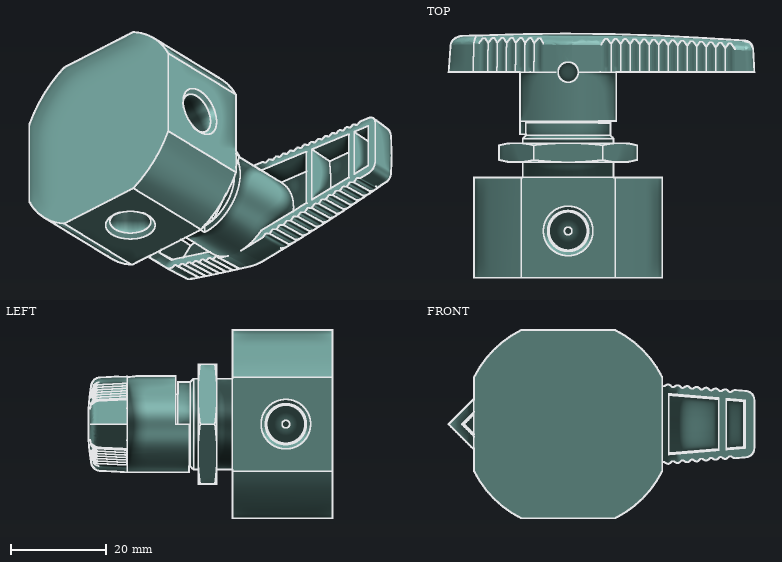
import cadquery as cq
import math


block_width = 39.4
block_height = 21.0
block_diameter = 44.0

port_height = 9.8
port_mouth_diameter = 10.4
port_thread_diameter = 8.6
port_floor_diameter = 8.0
port_chamfer_depth = 0.9
port_depth = 10.25
orifice_diameter = 1.6
orifice_depth = 3.2

neck_diameter = 19.1
neck_top = 29.75
shoulder_diameter = 17.7
neck_chamfer = (neck_diameter - shoulder_diameter) / 2
shoulder_top = 32.4
stem_diameter = 12.6

nut_across_flats = 25.1
nut_bottom = 24.2
nut_thickness = 4.0
nut_bevel = 0.45

hub_diameter = 20.2
hub_radius = hub_diameter / 2
hub_bottom = 32.8
stop_lip_bottom = 30.0
set_screw_diameter = 4.2
set_screw_depth = 3.7

lever_base = 43.0
lever_top = 51.2
lever_height = lever_top - lever_base
lever_tip_x = -25.0
lever_end_x = 39.0
lever_corner_radius = 2.0
lever_top_fillet = 2.0
lever_draft = 3.0
tip_half_angle = 45.0
pointer_side_angle = 15.0
grip_side_angle = 4.9

crown_length_radius = 441.6
crown_width_radius = 50.0
crown_trim = 0.65

wall = 2.0
roof = 1.8
rib_thickness = 1.55
rib_positions = (20.3, 32.25)

groove_depth = 0.5
groove_half_width = 1.2
groove_trough_radius = 0.5
groove_overlap = 0.01
first_grip_groove_x = 8.0
grip_groove_count = 14
grip_row_length = 26.0
groove_pitch = grip_row_length / (grip_groove_count - 1)
first_pointer_groove_x = -6.2
pointer_groove_count = 7


def turned(profile):
    """Solid of revolution about the valve axis from (radius, height) points."""
    return cq.Workplane("XY").polyline(profile).close().revolve(360, (0, 0, 0), (0, 1, 0))


def cylinder_along_y(diameter, bottom, top):
    radius = diameter / 2
    return turned([(0, bottom), (radius, bottom), (radius, top), (0, top)])



def make_port():
    """Tapered, chamfered port opening upwards at the top flat, with its orifice."""
    mouth_z = block_width / 2
    taper_z = mouth_z - port_chamfer_depth
    floor_z = mouth_z - port_depth
    orifice_z = floor_z - orifice_depth
    return (
        cq.Workplane("XZ")
        .moveTo(0, mouth_z)
        .lineTo(port_mouth_diameter / 2, mouth_z)
        .lineTo(port_thread_diameter / 2, taper_z)
        .lineTo(port_floor_diameter / 2, floor_z)
        .lineTo(orifice_diameter / 2, floor_z)
        .lineTo(orifice_diameter / 2, orifice_z)
        .lineTo(0, orifice_z)
        .close()
        .revolve(360, (0, 0, 0), (0, 1, 0))
        .translate((0, port_height, 0))
    )


def make_block():
    square = cq.Workplane("XY").box(block_width, block_height, block_width)
    square = square.translate((0, block_height / 2, 0))
    block = square.intersect(cylinder_along_y(block_diameter, 0, block_height))
    port = make_port()
    for quarter in range(4):
        block = block.cut(port.rotate((0, 0, 0), (0, 1, 0), 90 * quarter))
    return block


def make_neck():
    neck_radius = neck_diameter / 2
    return turned([
        (0, block_height),
        (neck_radius, block_height),
        (neck_radius, neck_top - neck_chamfer),
        (shoulder_diameter / 2, neck_top),
        (shoulder_diameter / 2, shoulder_top),
        (stem_diameter / 2, shoulder_top),
        (stem_diameter / 2, hub_bottom),
        (0, hub_bottom),
    ])


def make_nut():
    """Hexagon with corners on the X axis, bevelled at both faces."""
    across_corners = nut_across_flats / math.cos(math.radians(30))
    nut_top = nut_bottom + nut_thickness
    face_radius = nut_across_flats / 2
    corner_radius = across_corners / 2
    hexagon = (
        cq.Workplane("XZ", origin=(0, nut_bottom, 0))
        .polygon(6, across_corners)
        .extrude(-nut_thickness)
    )
    bevelled_blank = turned([
        (0, nut_bottom),
        (face_radius, nut_bottom),
        (corner_radius, nut_bottom + nut_bevel),
        (corner_radius, nut_top - nut_bevel),
        (face_radius, nut_top),
        (0, nut_top),
    ])
    return hexagon.intersect(bevelled_blank)


def make_valve_body():
    return make_block().union(make_neck()).union(make_nut())



def lever_side_z(x, side_angle, inset):
    """Half width at x of a straight side that is tangent to the hub circle."""
    slope = math.tan(math.radians(side_angle))
    return (hub_radius - inset) / math.cos(math.radians(side_angle)) - slope * abs(x)


def lever_blank(inset, corner_radius, height):
    """Drafted lever outline: pointed tip, hub tangents and a rounded end, moved inwards by inset."""
    tip_x = lever_tip_x + inset / math.sin(math.radians(tip_half_angle))
    end_x = lever_end_x - inset
    tip_slope = math.tan(math.radians(tip_half_angle))
    pointer_slope = math.tan(math.radians(pointer_side_angle))
    side_z_at_axis = lever_side_z(0, pointer_side_angle, inset)
    shoulder_x = (side_z_at_axis + tip_slope * tip_x) / (tip_slope - pointer_slope)
    shoulder_z = tip_slope * (shoulder_x - tip_x)
    end_z = lever_side_z(end_x, grip_side_angle, inset)

    arc_radius = hub_radius - inset
    pointer_tangent = math.radians(90 + pointer_side_angle)
    grip_tangent = math.radians(90 - grip_side_angle)
    middle = (pointer_tangent + grip_tangent) / 2

    def on_hub(angle, side):
        return (arc_radius * math.cos(angle), side * arc_radius * math.sin(angle))

    blank = (
        cq.Workplane(cq.Plane((0, lever_base, 0), (1, 0, 0), (0, 1, 0)))
        .moveTo(tip_x, 0)
        .lineTo(shoulder_x, shoulder_z)
        .lineTo(*on_hub(pointer_tangent, 1))
        .threePointArc(on_hub(middle, 1), on_hub(grip_tangent, 1))
        .lineTo(end_x, end_z)
        .lineTo(end_x, -end_z)
        .lineTo(*on_hub(grip_tangent, -1))
        .threePointArc(on_hub(middle, -1), on_hub(pointer_tangent, -1))
        .lineTo(shoulder_x, -shoulder_z)
        .close()
        .extrude(height, taper=lever_draft)
    )
    if corner_radius > 0:
        blank = blank.faces(">X").edges("not #Y").edges("not |Z").fillet(corner_radius)
    return blank


def crown_solid(drop):
    """Everything under the crowned top lowered by drop, large enough to trim the whole lever."""
    half_length = lever_end_x + wall
    top = lever_top - drop
    axis_y = lever_top - crown_width_radius
    end_sag = crown_length_radius - math.sqrt(crown_length_radius**2 - half_length**2)
    return (
        cq.Workplane("XY")
        .moveTo(-half_length, axis_y)
        .lineTo(-half_length, top - end_sag)
        .threePointArc((0, top), (half_length, top - end_sag))
        .lineTo(half_length, axis_y)
        .close()
        .revolve(360, (-half_length, axis_y, 0), (half_length, axis_y, 0))
    )


def groove_cutter(x, side_angle, side):
    """Cutter lying in the drafted lever side at x: a round trough with rounded lips."""
    lean = math.radians(side_angle) * (1 if x > 0 else -1)
    draft = math.radians(lever_draft)
    outward = cq.Vector(math.sin(lean), 0, side * math.cos(lean))
    along = cq.Vector(math.cos(lean), 0, -side * math.sin(lean))
    upward = cq.Vector(0, math.cos(draft), 0) - outward * math.sin(draft)
    face_normal = outward * math.cos(draft) + cq.Vector(0, math.sin(draft), 0)
    origin = cq.Vector(x, lever_base, side * lever_side_z(x, side_angle, 0))
    plane = cq.Plane(origin + face_normal * groove_overlap, along, upward)
    out = 1 if plane.yDir.dot(face_normal) > 0 else -1

    turn = 2 * math.atan(groove_depth / groove_half_width)
    lip_radius = groove_half_width / math.sin(turn) - groove_trough_radius
    joint = groove_trough_radius * math.sin(turn)
    joint_depth = groove_depth - groove_trough_radius * (1 - math.cos(turn))
    lip_middle = groove_half_width - lip_radius * math.sin(turn / 2)
    lip_middle_depth = lip_radius * (1 - math.cos(turn / 2))
    return (
        cq.Workplane(plane)
        .moveTo(-groove_half_width, 0)
        .threePointArc((-lip_middle, -out * lip_middle_depth), (-joint, -out * joint_depth))
        .threePointArc((0, -out * groove_depth), (joint, -out * joint_depth))
        .threePointArc((lip_middle, -out * lip_middle_depth), (groove_half_width, 0))
        .lineTo(groove_half_width, out * groove_depth)
        .lineTo(-groove_half_width, out * groove_depth)
        .close()
        .extrude(lever_height)
    )


def cut_grooves(lever):
    grip_step = groove_pitch * math.cos(math.radians(grip_side_angle))
    pointer_step = groove_pitch * math.cos(math.radians(pointer_side_angle))
    cutters = []
    for side in (1, -1):
        for index in range(grip_groove_count):
            x = first_grip_groove_x + index * grip_step
            cutters.append(groove_cutter(x, grip_side_angle, side).val())
        for index in range(pointer_groove_count):
            x = first_pointer_groove_x - index * pointer_step
            cutters.append(groove_cutter(x, pointer_side_angle, side).val())
    return cq.Workplane(lever.val().cut(*cutters))


def make_pocket():
    """Hollow underside, leaving the walls, the roof, the cross ribs and the hub."""
    pocket = lever_blank(wall, 0, lever_height).intersect(crown_solid(roof))
    for rib_x in rib_positions:
        rib = cq.Workplane("XY").box(rib_thickness, 2 * lever_height, hub_diameter)
        pocket = pocket.cut(rib.translate((rib_x, lever_base + lever_height, 0)))
    return pocket.cut(cylinder_along_y(hub_diameter, hub_bottom, lever_top))


def make_lever():
    lever = lever_blank(0, lever_corner_radius, lever_height + crown_trim)
    lever = lever.intersect(crown_solid(0))
    lever = lever.faces(">Y").edges().fillet(lever_top_fillet)
    lever = cut_grooves(lever)
    return lever.cut(make_pocket())


def make_hub():
    """Hub under the lever, with a quarter-turn stop lip on the -X, -Z side."""
    hub = cylinder_along_y(hub_diameter, hub_bottom, lever_base)
    lip = cylinder_along_y(hub_diameter, stop_lip_bottom, hub_bottom)
    lip = lip.cut(cylinder_along_y(shoulder_diameter, stop_lip_bottom, hub_bottom))
    quarter = cq.Workplane("XY").box(hub_radius, lever_base, hub_radius, centered=False)
    return hub.union(lip.intersect(quarter.translate((-hub_radius, 0, -hub_radius))))


def make_handle():
    handle = make_lever().union(make_hub())
    set_screw_hole = (
        cq.Workplane("XY", origin=(0, lever_base, hub_radius - set_screw_depth))
        .circle(set_screw_diameter / 2)
        .extrude(hub_radius)
    )
    return handle.cut(set_screw_hole)


valve_body = make_valve_body()
handle = make_handle()

result = cq.Compound.makeCompound([valve_body.val(), handle.val()])